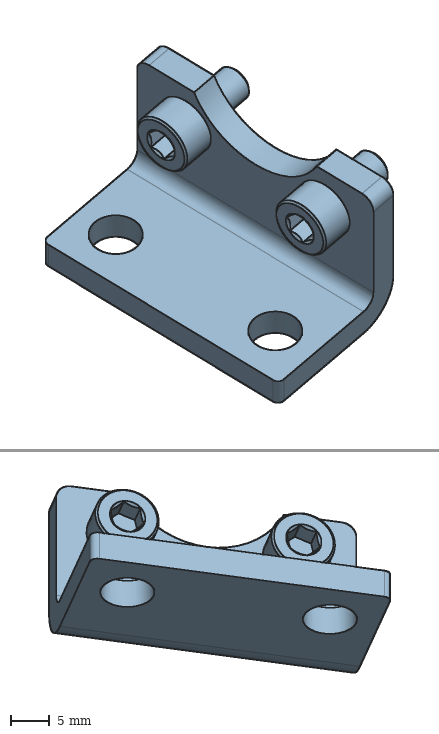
import cadquery as cq
import math

WIDTH = 40.0
LEG = 23.0
THICKNESS = 4.0
INNER_BEND_RADIUS = 2.0
OUTER_BEND_RADIUS = INNER_BEND_RADIUS + THICKNESS
TOP_CORNER_RADIUS = 2.0
BASE_CORNER_RADIUS = 1.0

SADDLE_RADIUS = 11.5
SADDLE_CENTER_Z = 27.95

BASE_HOLE_DIAMETER = 7.0
BASE_HOLE_SPACING = 27.0
BASE_HOLE_EDGE_DISTANCE = 7.0

SCREW_SPACING = 23.5
SCREW_Z = 16.25
SHANK_DIAMETER = 5.0
SHANK_LENGTH = 10.0
SHANK_CHAMFER = 0.3
HEAD_DIAMETER = 8.5
HEAD_HEIGHT = 5.0
HEAD_CHAMFER = 0.3
SOCKET_FLATS = 4.0
SOCKET_CORNERS = SOCKET_FLATS / math.cos(math.pi / 6)
SOCKET_ANGLE = -18.0
SOCKET_DEPTH = 3.0
SOCKET_MOUTH_DIAMETER = 4.7
SOCKET_MOUTH_DEPTH = (SOCKET_MOUTH_DIAMETER - SOCKET_FLATS) / 2


def symmetric_pair(spacing):
    """X positions of two features placed evenly about the middle."""
    return [-spacing / 2, spacing / 2]


def cylinder_along_y(diameter, length, x, y, z):
    """Cylinder that starts at (x, y, z) and runs toward +Y."""
    return cq.Workplane(cq.Solid.makeCylinder(
        diameter / 2, length, cq.Vector(x, y, z), cq.Vector(0, 1, 0)))


def make_bent_plate():
    """L profile in the YZ plane, extruded across the width and bent with two radii."""
    plate = (
        cq.Workplane("YZ")
        .polyline([
            (0, 0), (0, LEG), (-THICKNESS, LEG),
            (-THICKNESS, THICKNESS), (-LEG, THICKNESS), (-LEG, 0),
        ])
        .close()
        .extrude(WIDTH / 2, both=True)
    )
    inner_bend = cq.NearestToPointSelector((0, -THICKNESS, THICKNESS))
    plate = plate.edges(inner_bend).fillet(INNER_BEND_RADIUS)
    outer_bend = cq.NearestToPointSelector((0, 0, 0))
    plate = plate.edges(outer_bend).fillet(OUTER_BEND_RADIUS)
    plate = plate.faces(">Z").edges("|Y").fillet(TOP_CORNER_RADIUS)
    return plate.faces("<Y").edges("|Z").fillet(BASE_CORNER_RADIUS)


def make_bracket():
    bracket = make_bent_plate()

    bracket = bracket.cut(cylinder_along_y(
        2 * SADDLE_RADIUS, THICKNESS, 0, -THICKNESS, SADDLE_CENTER_Z))

    hole_y = -LEG + BASE_HOLE_EDGE_DISTANCE
    base_holes = (
        cq.Workplane("XY")
        .pushPoints([(x, hole_y) for x in symmetric_pair(BASE_HOLE_SPACING)])
        .circle(BASE_HOLE_DIAMETER / 2)
        .extrude(THICKNESS)
    )
    bracket = bracket.cut(base_holes)

    for x in symmetric_pair(SCREW_SPACING):
        bracket = bracket.cut(cylinder_along_y(SHANK_DIAMETER, THICKNESS, x, -THICKNESS, SCREW_Z))
    return bracket


def make_screw(x):
    """Socket head screw pointing toward +Y, its head seated on the upright leg."""
    seat_y = -THICKNESS
    head_y = seat_y - HEAD_HEIGHT
    head = cylinder_along_y(HEAD_DIAMETER, HEAD_HEIGHT, x, head_y, SCREW_Z)
    head = head.faces("<Y").chamfer(HEAD_CHAMFER)
    shank = cylinder_along_y(SHANK_DIAMETER, SHANK_LENGTH, x, seat_y, SCREW_Z)
    shank = shank.faces(">Y").chamfer(SHANK_CHAMFER)

    socket = (
        cq.Workplane("XZ", origin=(x, head_y, SCREW_Z))
        .transformed(rotate=(0, 0, SOCKET_ANGLE))
        .polygon(6, SOCKET_CORNERS)
        .extrude(-SOCKET_DEPTH)
    )
    socket_mouth = cq.Workplane(cq.Solid.makeCone(
        SOCKET_MOUTH_DIAMETER / 2, SOCKET_FLATS / 2, SOCKET_MOUTH_DEPTH,
        cq.Vector(x, head_y, SCREW_Z), cq.Vector(0, 1, 0)))
    return head.union(shank).cut(socket).cut(socket_mouth)


bracket = make_bracket()
screws = [make_screw(x) for x in symmetric_pair(SCREW_SPACING)]

result = cq.Compound.makeCompound([bracket.val(), *[screw.val() for screw in screws]])